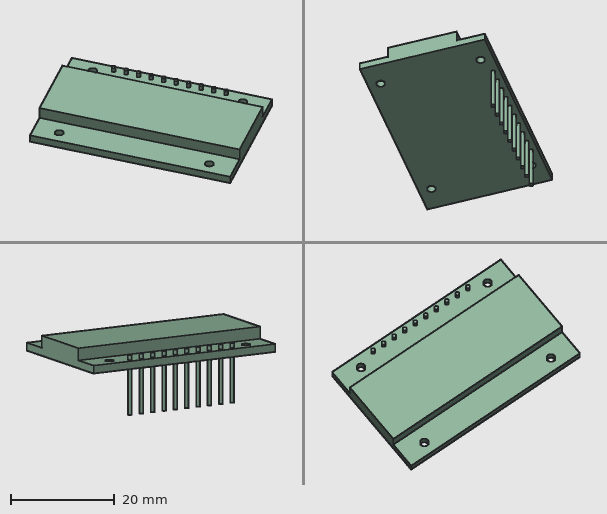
import cadquery as cq

board_length = 40.65
board_width = 25.4
board_thickness = 1.6

display_width = 13.95
display_height = 2.4

hole_diameter = 1.65
hole_spacing_x = 30.5
hole_spacing_y = 20.3

pin_count = 10
pin_row_span = 22.85
pin_pitch = pin_row_span / (pin_count - 1)
pin_diameter = 0.77
pin_edge_distance = 1.3
pin_drop = 9.23
pin_rise = 0.95


def make_board():
    board = cq.Workplane("XY").box(
        board_length, board_width, board_thickness, centered=(True, True, False)
    )
    return (
        board.faces(">Z")
        .workplane()
        .rect(hole_spacing_x, hole_spacing_y, forConstruction=True)
        .vertices()
        .hole(hole_diameter)
    )


def make_display():
    return (
        cq.Workplane("XY")
        .workplane(offset=board_thickness)
        .rect(board_length, display_width)
        .extrude(display_height)
    )


def make_pins():
    """Round pins that pass through the board and stand out on both sides."""
    pin_length = pin_drop + board_thickness + pin_rise
    row_y = board_width / 2 - pin_edge_distance
    return (
        cq.Workplane("XY", origin=(0, row_y, -pin_drop))
        .rarray(pin_pitch, 0.4, pin_count, 1)
        .circle(pin_diameter / 2)
        .extrude(pin_length)
    )


result = make_board().union(make_display()).union(make_pins())